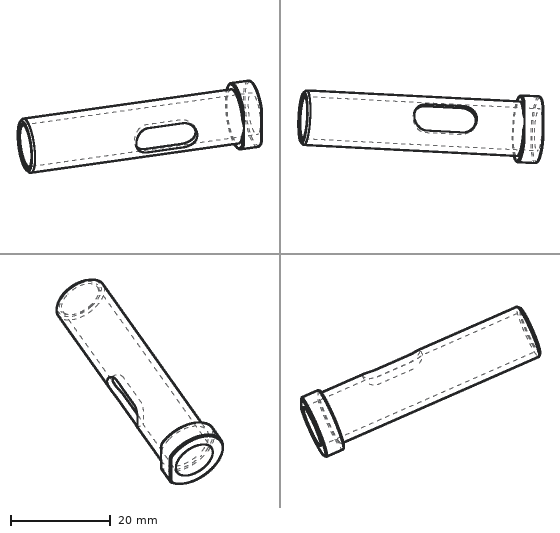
import cadquery as cq

total_length = 48.1

flange_length = 4.1
flange_radius = 6.75
flange_chamfer = 0.25
flat_corner_radius = 2.0

shaft_diameter = 11.0
shaft_chamfer = 0.5
bore_radius = 4.25
bore_chamfer = 0.3

window_length = 12.8
window_width = 5.5
window_from_flange_face = 20.0

shaft_radius = shaft_diameter / 2
shaft_length = total_length - flange_length
flat_offset = shaft_radius


def cylinder_along_y(radius, start, length):
    """Solid cylinder on the Y axis, running from start towards +Y."""
    return cq.Workplane("XZ", origin=(0, start, 0)).circle(radius).extrude(-length)


def make_shaft():
    """Round shaft with a chamfered free end, reaching into the flange."""
    shaft = cylinder_along_y(shaft_radius, 0, shaft_length + flange_length / 2)
    return shaft.faces("<Y").chamfer(shaft_chamfer)


def make_flange():
    """Round flange with a flat on +X whose corners blend into the round rim."""
    disc = cylinder_along_y(flange_radius, shaft_length, flange_length)
    beyond_flat = (
        cq.Workplane("YZ", origin=(flat_offset, 0, 0))
        .center(total_length - flange_length / 2, 0)
        .rect(2 * flange_length, 2 * flange_radius)
        .extrude(flange_radius)
    )
    flange = disc.cut(beyond_flat)
    flat_corners = flange.faces(">X").edges("|Y")
    flange = flat_corners.fillet(flat_corner_radius)
    return flange.faces("<Y or >Y").chamfer(flange_chamfer)


def make_bore():
    """Through bore that widens in a chamfer at the free end of the shaft."""
    bore = cylinder_along_y(bore_radius, 0, total_length)
    mouth = cq.Workplane("XY").polyline(
        [(0, 0), (bore_radius + bore_chamfer, 0), (bore_radius, bore_chamfer), (0, bore_chamfer)]
    )
    mouth = mouth.close().revolve(360, (0, 0, 0), (0, 1, 0))
    return bore.union(mouth)


def make_window():
    """Slot-shaped cutter that runs from the axis out through the +X wall."""
    return (
        cq.Workplane("YZ")
        .center(total_length - window_from_flange_face, 0)
        .slot2D(window_length, window_width)
        .extrude(flange_radius)
    )


result = make_shaft().union(make_flange()).cut(make_bore()).cut(make_window())